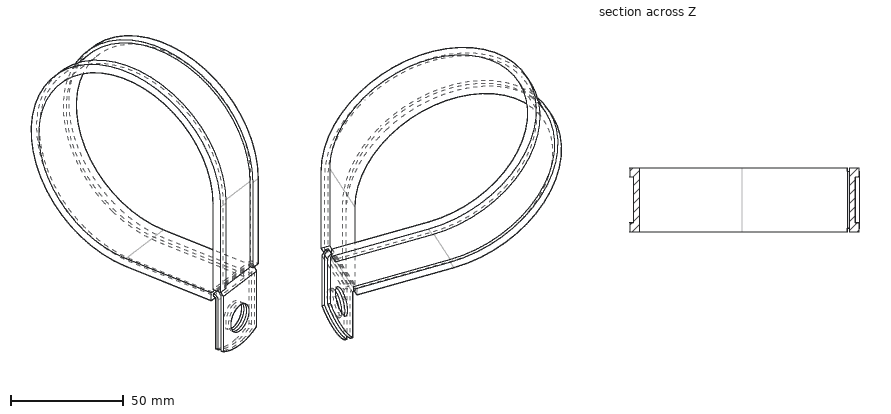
import cadquery as cq
import math

outer_radius = 52.0
cushion_thickness = 4.3
cushion_width = 28.4
groove_width = 20.2
groove_depth = 1.6
side_leg_end_z = -45.4
bottom_leg_end_x = 46.8

strap_thickness = 1.3
strap_width = 25.2
strap_outer = outer_radius - groove_depth
strap_inner = strap_outer - strap_thickness
bend_inner_radius = 1.0
bend_outer_radius = bend_inner_radius + strap_thickness
jog_start_z = -45.7
jog_end_z = -48.4

tab_bottom_z = -80.9
outer_tab_face_x = 52.2
tab_pitch = 2.8
inner_tab_face_x = outer_tab_face_x - tab_pitch
tab_end_rise = 3.0
hole_diameter = 13.5
hole_center_z = tab_bottom_z + 14.3


def extrude_centered(profile, width):
    """Extrude an XZ profile equally to both sides of the Y = 0 plane."""
    return profile.extrude(width / 2, both=True)


def loop_band(outer, inner, width):
    """Three-quarter ring with tangent straight legs at the right and bottom."""
    diagonal = math.sqrt(0.5)
    profile = (
        cq.Workplane("XZ")
        .moveTo(outer, side_leg_end_z)
        .lineTo(outer, 0)
        .threePointArc((-outer * diagonal, outer * diagonal), (0, -outer))
        .lineTo(bottom_leg_end_x, -outer)
        .lineTo(bottom_leg_end_x, -inner)
        .lineTo(0, -inner)
        .threePointArc((-inner * diagonal, inner * diagonal), (inner, 0))
        .lineTo(inner, side_leg_end_z)
        .close()
    )
    return extrude_centered(profile, width)


def outer_tab():
    """Continuation of the side leg, jogged outward into a flat tab."""
    tab_back_x = outer_tab_face_x - strap_thickness
    profile = cq.Workplane("XZ").polyline([
        (strap_inner, side_leg_end_z),
        (strap_outer, side_leg_end_z),
        (strap_outer, jog_start_z),
        (outer_tab_face_x, jog_end_z),
        (outer_tab_face_x, tab_bottom_z),
        (tab_back_x, tab_bottom_z),
        (tab_back_x, jog_end_z),
        (strap_inner, jog_start_z),
    ]).close()
    return extrude_centered(profile, strap_width)


def inner_tab():
    """Continuation of the bottom leg, bent downward into a flat tab."""
    tab_back_x = inner_tab_face_x - strap_thickness
    bend_start_x = inner_tab_face_x - bend_outer_radius
    bend_end_z = -strap_inner - bend_outer_radius
    profile = (
        cq.Workplane("XZ")
        .moveTo(bottom_leg_end_x, -strap_inner)
        .lineTo(bend_start_x, -strap_inner)
        .tangentArcPoint((inner_tab_face_x, bend_end_z), relative=False)
        .lineTo(inner_tab_face_x, tab_bottom_z)
        .lineTo(tab_back_x, tab_bottom_z)
        .lineTo(tab_back_x, bend_end_z)
        .tangentArcPoint((bend_start_x, -strap_outer), relative=False)
        .lineTo(bottom_leg_end_x, -strap_outer)
        .close()
    )
    return extrude_centered(profile, strap_width)


def tab_envelope():
    """Tab outline seen along X: straight sides and an arched lower end."""
    half_width = strap_width / 2
    corner_z = tab_bottom_z + tab_end_rise
    return (
        cq.Workplane("YZ")
        .moveTo(-half_width, side_leg_end_z)
        .lineTo(-half_width, corner_z)
        .threePointArc((0, tab_bottom_z), (half_width, corner_z))
        .lineTo(half_width, side_leg_end_z)
        .close()
        .extrude(outer_tab_face_x)
    )


def bolt_hole():
    """Hole along X through both tabs."""
    return (
        cq.Workplane("YZ")
        .center(0, hole_center_z)
        .circle(hole_diameter / 2)
        .extrude(outer_tab_face_x)
    )


cushion = loop_band(outer_radius, outer_radius - cushion_thickness, cushion_width)
groove = loop_band(outer_radius, strap_outer, groove_width)
tabs = outer_tab().union(inner_tab()).intersect(tab_envelope()).cut(bolt_hole())

result = cushion.cut(groove).union(tabs)